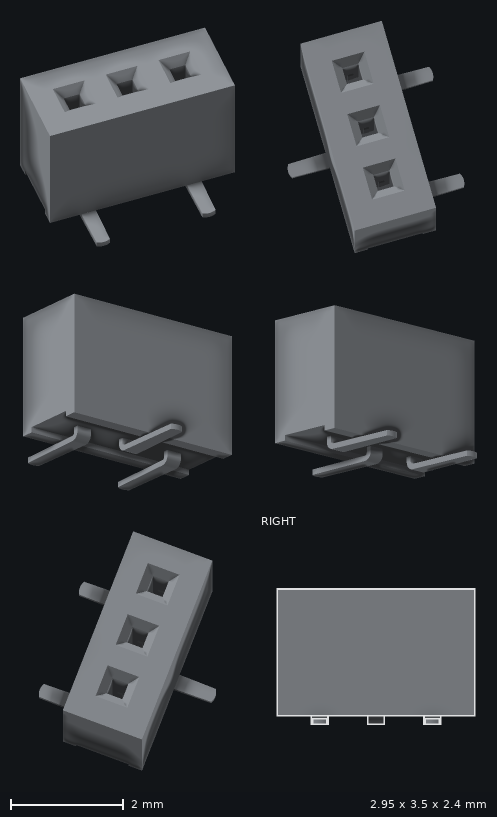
import cadquery as cq


BODY_WIDTH = 1.5
BODY_HEIGHT = 2.25
PITCH = 1.0
CONTACT_COUNT = 3
END_MARGIN = 0.25
BODY_LENGTH = CONTACT_COUNT * PITCH + 2 * END_MARGIN
CHANNEL_WIDTH = 1.0
CHANNEL_DEPTH = 0.1

SHAFT_SIDE = 0.3
FUNNEL_DEPTH = 0.15
FUNNEL_SIDE = SHAFT_SIDE + 2 * FUNNEL_DEPTH
SOCKET_DEPTH = 1.5
SHAFT_FLOOR_Z = BODY_HEIGHT - SOCKET_DEPTH

METAL = 0.1
STEM_WIDTH = SHAFT_SIDE
PRONG_WIDTH = 0.025
FORK_HEIGHT = 0.5
FORK_BASE_HEIGHT = 0.1
FORK_TOP_Z = SHAFT_FLOOR_Z + FORK_HEIGHT
FORK_BASE_Z = SHAFT_FLOOR_Z + FORK_BASE_HEIGHT

BEND_INNER_RADIUS = 0.05
BEND_OUTER_RADIUS = BEND_INNER_RADIUS + METAL
BEND_CENTER_X = METAL / 2 + BEND_INNER_RADIUS
BEND_CENTER_Z = 0.0
LEAD_TOP_Z = BEND_CENTER_Z - BEND_INNER_RADIUS
LEAD_BOTTOM_Z = LEAD_TOP_Z - METAL
LEAD_REACH = 1.475
TIP_WIDTH = 0.25
TIP_BULGE = 0.035


def make_socket(y):
    """Cavity of one socket: funnel and shaft joined."""
    shaft = (
        cq.Workplane("XY", origin=(0, y, SHAFT_FLOOR_Z))
        .rect(SHAFT_SIDE, SHAFT_SIDE)
        .extrude(SOCKET_DEPTH)
    )
    funnel = (
        cq.Workplane("XY", origin=(0, y, BODY_HEIGHT - FUNNEL_DEPTH))
        .rect(SHAFT_SIDE, SHAFT_SIDE)
        .workplane(offset=FUNNEL_DEPTH)
        .rect(FUNNEL_SIDE, FUNNEL_SIDE)
        .loft(ruled=True)
    )
    return shaft.union(funnel)


def make_housing():
    """Plain block with a channel along its underside."""
    block = cq.Workplane("XY").box(BODY_WIDTH, BODY_LENGTH, BODY_HEIGHT, centered=(True, True, False))
    channel = cq.Workplane("XY").box(CHANNEL_WIDTH, BODY_LENGTH, CHANNEL_DEPTH, centered=(True, True, False))
    return block.cut(channel)


def make_fork():
    """Upright fork on the shaft floor, with prong tips bevelled inward at 45 degrees."""
    half_width = STEM_WIDTH / 2
    half_gap = half_width - PRONG_WIDTH
    bevel_z = FORK_TOP_Z - PRONG_WIDTH
    return (
        cq.Workplane("YZ")
        .polyline(
            [
                (-half_width, SHAFT_FLOOR_Z),
                (half_width, SHAFT_FLOOR_Z),
                (half_width, FORK_TOP_Z),
                (half_gap, bevel_z),
                (half_gap, FORK_BASE_Z),
                (-half_gap, FORK_BASE_Z),
                (-half_gap, bevel_z),
                (-half_width, FORK_TOP_Z),
            ]
        )
        .close()
        .extrude(METAL / 2, both=True)
    )


def make_lead():
    """Stem, bend and tapered flat of one lead, pointing along +X."""
    profile = (
        cq.Workplane("XZ")
        .moveTo(-METAL / 2, SHAFT_FLOOR_Z)
        .lineTo(-METAL / 2, BEND_CENTER_Z)
        .radiusArc((BEND_CENTER_X, LEAD_BOTTOM_Z), -BEND_OUTER_RADIUS)
        .lineTo(LEAD_REACH, LEAD_BOTTOM_Z)
        .lineTo(LEAD_REACH, LEAD_TOP_Z)
        .lineTo(BEND_CENTER_X, LEAD_TOP_Z)
        .radiusArc((METAL / 2, BEND_CENTER_Z), BEND_INNER_RADIUS)
        .lineTo(METAL / 2, SHAFT_FLOOR_Z)
        .close()
        .extrude(STEM_WIDTH / 2, both=True)
    )
    tip_corner_x = LEAD_REACH - TIP_BULGE
    plan = (
        cq.Workplane("XY", origin=(0, 0, LEAD_BOTTOM_Z))
        .moveTo(-METAL / 2, -STEM_WIDTH / 2)
        .lineTo(BEND_CENTER_X, -STEM_WIDTH / 2)
        .lineTo(tip_corner_x, -TIP_WIDTH / 2)
        .threePointArc((LEAD_REACH, 0), (tip_corner_x, TIP_WIDTH / 2))
        .lineTo(BEND_CENTER_X, STEM_WIDTH / 2)
        .lineTo(-METAL / 2, STEM_WIDTH / 2)
        .close()
        .extrude(SHAFT_FLOOR_Z - LEAD_BOTTOM_Z)
    )
    return profile.intersect(plan)


def make_contact(y, points_left):
    """Fork and lead of one contact, with the lead leaving toward -X or +X."""
    turn = 180 if points_left else 0
    contact = make_fork().union(make_lead())
    return contact.rotate((0, 0, 0), (0, 0, 1), turn).translate((0, y, 0))


result = make_housing()
for index in range(CONTACT_COUNT):
    contact_y = (index - (CONTACT_COUNT - 1) / 2) * PITCH
    result = result.cut(make_socket(contact_y))
    result = result.union(make_contact(contact_y, points_left=index % 2 == 1))